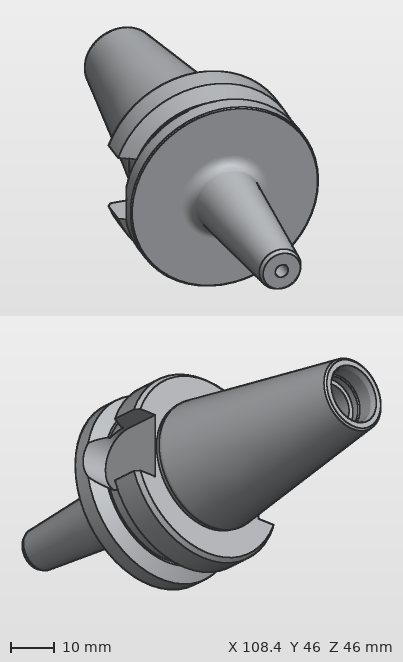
import cadquery as cq
import math

length = 108.4
flange_radius = 46.0 / 2

taper_length = 48.3
taper_large_radius = 15.8
taper_slope = 7 / 24 / 2
taper_back_radius = taper_large_radius - taper_length * taper_slope
back_edge_chamfer = 0.4
neck_radius = 31.2 / 2
neck_start = 49.1

flange_back = 50.2
flange_front = 70.2
back_chamfer_length = 1.2
back_chamfer_depth = 0.9
front_edge_chamfer = 0.3
groove_back = 57.9
groove_front = 65.9
groove_floor_back = 59.9
groove_floor_front = 63.8
groove_floor_radius = 18.9
groove_wall_angle = 60
groove_wall_radius = flange_radius - (groove_floor_back - groove_back) * math.tan(math.radians(groove_wall_angle))

nose_start = 73.1
nose_back_radius = 7.8
nose_tip_radius = 5.1
tip_chamfer_start = 107.3
tip_chamfer = 0.5
nose_fillet_radius = nose_start - flange_front

slot_half_width = 7.9
slot_tip = 67.2
slot_floor = 16.0

mouth_radius = 14.0 / 2
mouth_chamfer_length = 1.4
counterbore_radius = 13.1 / 2
counterbore_depth = 5.1
thread_radius = 12.5 / 2
thread_depth = 7.2
pilot_radius = 10.1 / 2
pilot_depth = 32.5
drill_tip_radius = 5.0 / 2
drill_tip_half_angle = 60
drill_tip_length = (pilot_radius - drill_tip_radius) / math.tan(math.radians(drill_tip_half_angle))
through_radius = 3.1 / 2


def revolve_about_x(profile):
    """Revolve a closed (x, radius) outline about the X axis."""
    return profile.close().revolve(360, (0, 0, 0), (1, 0, 0))


def make_body():
    fillet_top_radius = nose_back_radius + nose_fillet_radius
    arc_offset = nose_fillet_radius * (1 - math.sqrt(0.5))
    profile = (
        cq.Workplane("XY")
        .moveTo(0, 0)
        .lineTo(0, taper_back_radius - back_edge_chamfer)
        .lineTo(back_edge_chamfer, taper_back_radius + back_edge_chamfer * taper_slope)
        .lineTo(taper_length, taper_large_radius)
        .lineTo(neck_start, taper_large_radius)
        .lineTo(neck_start + taper_large_radius - neck_radius, neck_radius)
        .lineTo(flange_back, neck_radius)
        .lineTo(flange_back, flange_radius - back_chamfer_depth)
        .lineTo(flange_back + back_chamfer_length, flange_radius)
        .lineTo(groove_back, flange_radius)
        .lineTo(groove_floor_back, groove_wall_radius)
        .lineTo(groove_floor_back, groove_floor_radius)
        .lineTo(groove_floor_front, groove_floor_radius)
        .lineTo(groove_floor_front, groove_wall_radius)
        .lineTo(groove_front, flange_radius)
        .lineTo(flange_front - front_edge_chamfer, flange_radius)
        .lineTo(flange_front, flange_radius - front_edge_chamfer)
        .lineTo(flange_front, fillet_top_radius)
        .threePointArc(
            (flange_front + arc_offset, nose_back_radius + arc_offset),
            (nose_start, nose_back_radius),
        )
        .lineTo(tip_chamfer_start, nose_tip_radius)
        .lineTo(length, nose_tip_radius - tip_chamfer)
        .lineTo(length, 0)
    )
    return revolve_about_x(profile)


def make_bore():
    thread_start = counterbore_depth + counterbore_radius - thread_radius
    drill_tip_end = pilot_depth + drill_tip_length
    profile = (
        cq.Workplane("XY")
        .moveTo(0, 0)
        .lineTo(0, mouth_radius)
        .lineTo(mouth_chamfer_length, counterbore_radius)
        .lineTo(counterbore_depth, counterbore_radius)
        .lineTo(thread_start, thread_radius)
        .lineTo(thread_depth, thread_radius)
        .lineTo(thread_depth, pilot_radius)
        .lineTo(pilot_depth, pilot_radius)
        .lineTo(drill_tip_end, drill_tip_radius)
        .lineTo(drill_tip_end, through_radius)
        .lineTo(length, through_radius)
        .lineTo(length, 0)
    )
    return revolve_about_x(profile)


def make_slot(side):
    """Flat-bottomed drive slot with a round front end, on the +Y (1) or -Y (-1) side."""
    arc_center = slot_tip - slot_half_width
    outline = (
        cq.Workplane("XZ", origin=(0, side * slot_floor, 0))
        .moveTo(flange_back, -slot_half_width)
        .lineTo(arc_center, -slot_half_width)
        .threePointArc((slot_tip, 0), (arc_center, slot_half_width))
        .lineTo(flange_back, slot_half_width)
        .close()
    )
    return outline.extrude(-side * flange_radius)


result = make_body().cut(make_bore())
for slot_side in (-1, 1):
    result = result.cut(make_slot(slot_side))